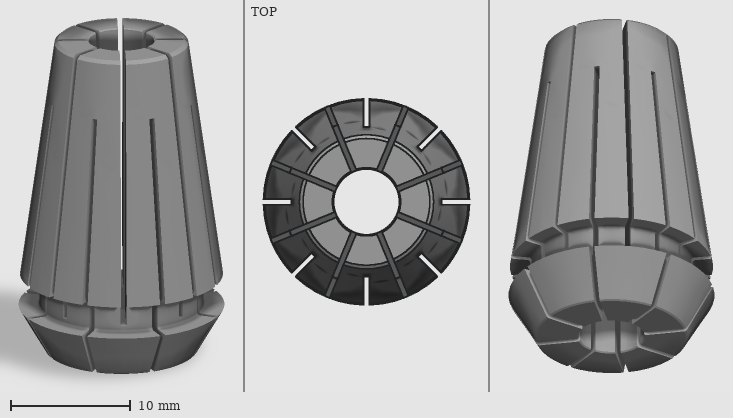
import cadquery as cq
import math

total_height = 27.5
flange_height = 4.0
cone_base_z = 6.7

flange_diameter = 17.25
cone_base_diameter = 17.0
neck_diameter = 13.75
bore_diameter = 5.5
flange_angle = 30.0
cone_angle = 8.0

top_chamfer = 0.28
nose_chamfer = 0.1
bore_chamfer = 0.1
neck_fillet = 0.22

slot_width = 0.47
slots_per_set = 8
nose_slot_end_z = 22.5
top_slot_end_z = 4.48

flange_radius = flange_diameter / 2
cone_base_radius = cone_base_diameter / 2
neck_radius = neck_diameter / 2
nose_radius = flange_radius - flange_height * math.tan(math.radians(flange_angle))
cone_height = total_height - cone_base_z
top_radius = cone_base_radius - cone_height * math.tan(math.radians(cone_angle))
slot_pitch = 360 / slots_per_set

smallest_circle = cq.selectors.RadiusNthSelector(0)


def make_body():
    """Revolved collet: nose flange, neck groove and long clamping cone."""
    return (
        cq.Workplane("XZ")
        .lineTo(nose_radius, 0)
        .lineTo(flange_radius, flange_height)
        .lineTo(neck_radius, flange_height)
        .lineTo(neck_radius, cone_base_z)
        .lineTo(cone_base_radius, cone_base_z)
        .lineTo(top_radius, total_height)
        .lineTo(0, total_height)
        .close()
        .revolve(360, (0, 0, 0), (0, 1, 0))
    )


def break_outer_edges(body):
    """Chamfer both end faces and fillet the two inner corners of the neck."""
    body = body.faces(">Z").edges().chamfer(top_chamfer)
    body = body.faces("<Z").edges().chamfer(nose_chamfer)
    for corner_z in (flange_height, cone_base_z):
        level = cq.selectors.BoxSelector(
            (-flange_radius, -flange_radius, corner_z - neck_fillet),
            (flange_radius, flange_radius, corner_z + neck_fillet),
        )
        body = body.edges(level).edges(smallest_circle).fillet(neck_fillet)
    return body


def cut_bore(body):
    """Through bore with a small chamfer at each mouth."""
    body = body.cut(cq.Workplane("XY").circle(bore_diameter / 2).extrude(total_height))
    for end_face in (">Z", "<Z"):
        body = body.faces(end_face).edges(smallest_circle).chamfer(bore_chamfer)
    return body


def cut_slots(body, start_z, end_z, first_angle):
    """Cut a ring of radial slots, from the axis outward, between two levels."""
    slot = (
        cq.Workplane("XY", origin=(0, 0, start_z))
        .center(flange_radius, 0)
        .rect(flange_diameter, slot_width)
        .extrude(end_z - start_z)
    )
    for index in range(slots_per_set):
        angle = first_angle + index * slot_pitch
        body = body.cut(slot.rotate((0, 0, 0), (0, 0, 1), angle))
    return body


result = cut_bore(break_outer_edges(make_body()))
result = cut_slots(result, 0, nose_slot_end_z, 0)
result = cut_slots(result, top_slot_end_z, total_height, slot_pitch / 2)